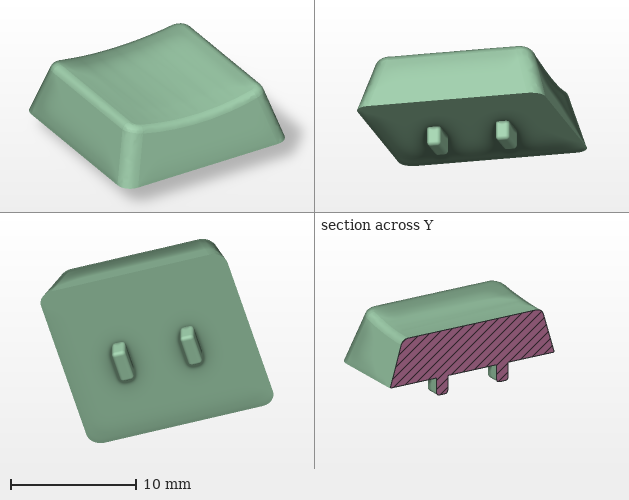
import cadquery as cq
import math

base_size = 15.5
wall_angle = 16.5
blank_height = 5.42
corner_radius = 1.25
rim_radius = 0.67

dish_radius = 25.88
dish_floor = 3.97

peg_height = 1.5
peg_width = 1.12
peg_length = 2.87
peg_offset = 2.84
peg_corner_radius = 0.3
peg_tip_radius = 0.3


def make_cap():
    top_size = base_size - 2 * blank_height * math.tan(math.radians(wall_angle))
    blank = (
        cq.Workplane("XY")
        .rect(base_size, base_size)
        .workplane(offset=blank_height)
        .rect(top_size, top_size)
        .loft(ruled=True)
    )
    blank = blank.edges("not(|X or |Y)").fillet(corner_radius)
    dish = (
        cq.Workplane("YZ")
        .center(0, dish_floor + dish_radius)
        .circle(dish_radius)
        .extrude(base_size / 2, both=True)
    )
    cap = blank.cut(dish)
    rim = cap.faces(cq.selectors.NearestToPointSelector((0, 0, dish_floor))).edges()
    return rim.fillet(rim_radius)


def make_peg(x):
    return (
        cq.Workplane("XY")
        .center(x, 0)
        .rect(peg_width, peg_length)
        .extrude(-peg_height)
        .edges("|Z")
        .fillet(peg_corner_radius)
        .faces("<Z")
        .edges()
        .fillet(peg_tip_radius)
    )


result = make_cap()
for side in (-1, 1):
    result = result.union(make_peg(side * peg_offset))